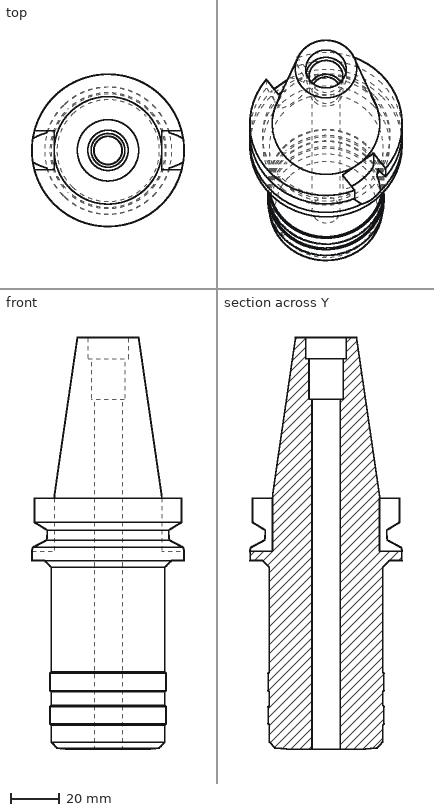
import cadquery as cq

total_height = 170.4
gauge_height = 105.0
flange_top = 104.0
groove_upper_edge = 93.9
groove_upper_root = 90.7
groove_lower_root = 86.5
groove_lower_edge = 83.5
flange_bottom = 78.0
collar_bottom = 75.3
grip_band_bottoms = (10.0, 23.9)
grip_band_height = 8.2
nose_chamfer_top = 3.0
nose_rim_height = 0.5

gauge_radius = 22.24
taper_ratio = 7 / 24
flange_radius = 31.5
groove_radius = 26.4
collar_radius = 26.2
body_radius = 23.5
grip_band_radius = 24.0
nose_rim_radius = 21.1
nose_face_radius = 15.3

socket_radius = 8.3
socket_depth = 8.9
pilot_radius = 7.0
pilot_depth = 25.5
through_radius = 5.8

slot_width = 16.0
slot_bottom = 82.0
slot_floor_x = 22.2

taper_end_radius = gauge_radius - (total_height - gauge_height) * taper_ratio / 2


def cylinder(radius, bottom, top):
    """Solid cylinder on the Z axis between two heights."""
    return cq.Workplane("XY").workplane(offset=bottom).circle(radius).extrude(top - bottom)


def grip_band(bottom):
    """Raised band around the shank with both edges sloped at 45 degrees."""
    slope = grip_band_radius - body_radius
    return cylinder(grip_band_radius, bottom, bottom + grip_band_height).edges().chamfer(slope)


def turned_body():
    """Nose, shank, grooved flange and taper, revolved about Z."""
    profile = [
        (0, 0),
        (nose_face_radius, 0),
        (nose_rim_radius, nose_rim_height),
        (body_radius, nose_chamfer_top),
        (body_radius, collar_bottom),
        (collar_radius, flange_bottom),
        (flange_radius, flange_bottom),
        (flange_radius, groove_lower_edge),
        (groove_radius, groove_lower_root),
        (groove_radius, groove_upper_root),
        (flange_radius, groove_upper_edge),
        (flange_radius, flange_top),
        (gauge_radius, flange_top),
        (gauge_radius, gauge_height),
        (taper_end_radius, total_height),
        (0, total_height),
    ]
    return cq.Workplane("XZ").polyline(profile).close().revolve(360, (0, 0, 0), (0, 1, 0))


def drive_slot():
    """Round-bottomed cutter for the drive slot on the +X side, open at the flange top."""
    half_width = slot_width / 2
    arc_center = slot_bottom + half_width
    return (
        cq.Workplane("YZ")
        .workplane(offset=slot_floor_x)
        .moveTo(-half_width, flange_top)
        .lineTo(-half_width, arc_center)
        .threePointArc((0, slot_bottom), (half_width, arc_center))
        .lineTo(half_width, flange_top)
        .close()
        .extrude(flange_radius)
    )


result = turned_body()

for band_bottom in grip_band_bottoms:
    result = result.union(grip_band(band_bottom))

for angle in (0, 180):
    result = result.cut(drive_slot().rotate((0, 0, 0), (0, 0, 1), angle))

result = result.cut(cylinder(through_radius, 0, total_height))
result = result.cut(cylinder(pilot_radius, total_height - pilot_depth, total_height))
result = result.cut(cylinder(socket_radius, total_height - socket_depth, total_height))